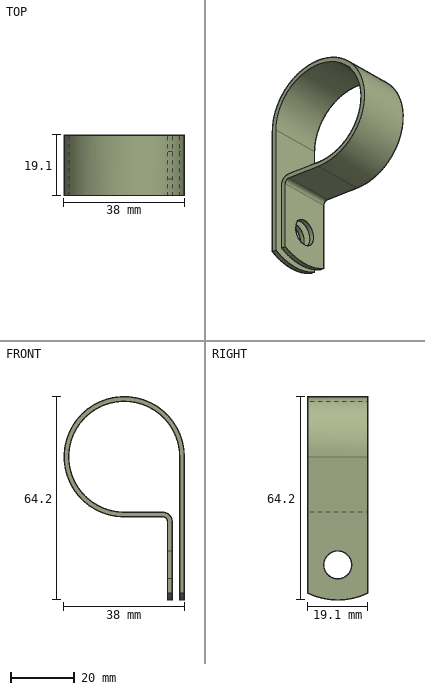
import cadquery as cq
import math

bore_diameter = 34.925
thickness = 1.524
width = 19.05
leg_gap = 2.3
bend_inner_radius = 1.524
leg_end_depth = 45.21
hole_diameter = 8.73
hole_depth = 34.1
end_arc_rise = 2.2

inner_radius = bore_diameter / 2
outer_radius = inner_radius + thickness
bend_outer_radius = bend_inner_radius + thickness
short_leg_right = inner_radius - leg_gap
short_leg_left = short_leg_right - thickness
bend_center_x = short_leg_left - bend_inner_radius
bend_center_z = -outer_radius - bend_inner_radius
end_corner_z = -leg_end_depth + end_arc_rise
half_width = width / 2
loop_mid_angle = 270 / 2
bend_mid_angle = 90 / 2


def arc_point(center_x, center_z, radius, angle):
    """Point on a circle in the XZ profile at the given angle in degrees from +X."""
    turn = math.radians(angle)
    return (center_x + radius * math.cos(turn), center_z + radius * math.sin(turn))


def bent_strap():
    """Long leg, three-quarter loop, flat shelf, bend and short leg, with square ends."""
    long_leg = (
        cq.Workplane("XZ")
        .moveTo(inner_radius, -leg_end_depth)
        .lineTo(outer_radius, -leg_end_depth)
        .lineTo(outer_radius, 0)
    )
    outside = (
        long_leg.threePointArc(arc_point(0, 0, outer_radius, loop_mid_angle), (0, -outer_radius))
        .lineTo(bend_center_x, -outer_radius)
        .threePointArc(
            arc_point(bend_center_x, bend_center_z, bend_inner_radius, bend_mid_angle),
            (short_leg_left, bend_center_z),
        )
        .lineTo(short_leg_left, -leg_end_depth)
    )
    inside = (
        outside.lineTo(short_leg_right, -leg_end_depth)
        .lineTo(short_leg_right, bend_center_z)
        .threePointArc(
            arc_point(bend_center_x, bend_center_z, bend_outer_radius, bend_mid_angle),
            (bend_center_x, -inner_radius),
        )
        .lineTo(0, -inner_radius)
        .threePointArc(arc_point(0, 0, inner_radius, loop_mid_angle), (inner_radius, 0))
    )
    return inside.close().extrude(half_width, both=True)


def rounded_end_envelope():
    """Block around the whole strap whose lower face is the arc of the leg ends."""
    return (
        cq.Workplane("YZ")
        .moveTo(-half_width, outer_radius)
        .lineTo(-half_width, end_corner_z)
        .threePointArc((0, -leg_end_depth), (half_width, end_corner_z))
        .lineTo(half_width, outer_radius)
        .close()
        .extrude(outer_radius, both=True)
    )


def bolt_hole():
    """Cylinder along X that passes through both legs."""
    return (
        cq.Workplane("YZ")
        .center(0, -hole_depth)
        .circle(hole_diameter / 2)
        .extrude(outer_radius, both=True)
    )


result = bent_strap().intersect(rounded_end_envelope()).cut(bolt_hole())